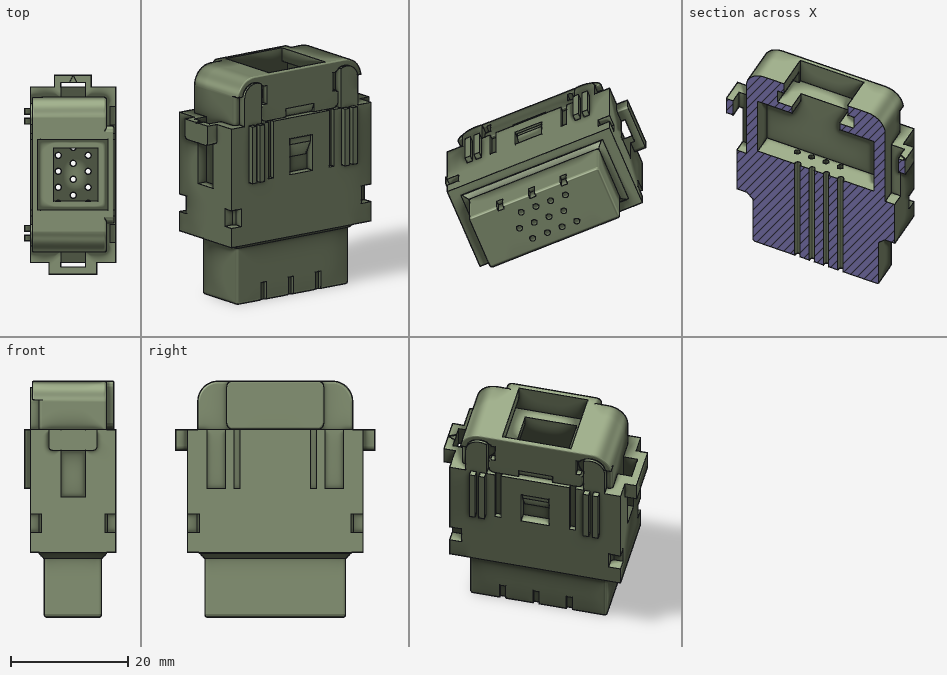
import cadquery as cq


HOUSING_X = 14.6
HOUSING_Y = 30.0
HOUSING_H = 20.9
SIDE_X = HOUSING_X / 2
END_Y = HOUSING_Y / 2

HOOK_REACH = 2.0
HOOK_ROOT = 1.0
HOOK_H = 3.5
HOOK_FRONT_X = 8.2
HOOK_BACK_X = 6.3
HOOK_SHIFT_X = -0.05
HOOK_ROUND = 0.6
END_POCKET_X = 4.2
END_POCKET_H = 11.5
HOOK_OPENING = 0.7
MARK_X = 1.3
MARK_DEPTH = 0.2

GUIDE_H = 10.0
RIB_X = 1.0
RIB_Y = 1.0
RIB_CENTRES = (9.15, 10.8)
RIB_RECESS_INNER = 8.5
RIB_RECESS_OUTER = 11.6
KEY_GROOVE_CENTRE = 6.53
KEY_GROOVE_Y = 1.04
KEY_GROOVE_DEPTH = 0.8
WINDOW_Y = 4.9
WINDOW_TOP = -3.7
WINDOW_DEPTH = 1.6
LATCH_Y = 4.55
LATCH_SETBACK = 0.4
LATCH_LIP_H = 1.15
LATCH_RAMP_H = 2.5

NOTCH_TOP = -14.4
NOTCH_H = 3.1
NOTCH_X = 1.9
NOTCH_Y = 2.1
NOTCH_CHAMFER = 0.45

PLUG_X = 9.8
PLUG_Y = 24.0
PLUG_BOTTOM = -32.0
PLUG_SHIFT_X = -0.06
PLUG_ROUND = 0.5
COLLAR_H = 1.1
COLLAR_FLARE_X = 0.85
COLLAR_FLARE_Y = COLLAR_H
SLOT_Y = 1.1
SLOT_H = 3.2
SLOT_DEPTH = 0.7
SLOT_PITCH = 5.85
SLOT_MIDDLE_Y = 0.42

CAP_TOP = 8.3
CAP_Y = 26.45
CAP_ROUND = 3.5
CAP_LEFT = -6.95
CORE_LEFT = -5.85
CORE_RIGHT = 5.7
CAP_RIGHT = 6.95
CORE_RIGHT_ROUND = 0.45
CORE_LEFT_ROUND = 0.6
PANEL_EDGE_ROUND = 0.25
PANEL_Y = 16.55
PANEL_GAP = 0.1
PANEL_CORNER = 1.0
LOOP_Y = CAP_Y / 2 - CAP_ROUND
LOOP_Z = CAP_TOP - CAP_ROUND
LOOP_R = 2.45
SEAT_DEPTH = 0.1
CROWN_RISE = 0.3
CROWN_Z = LOOP_Z + CROWN_RISE
RELIEF_INNER_Y = 7.1
RELIEF_BOTTOM = 3.16
RELIEF_H = 3.24
PILLAR_INNER_Y = 8.53
RAMP_SLOT_Y = 6.0
RAMP_SLOT_H = 1.56
RAMP_SLOT_DEPTH = 0.7

SOCKET_LEFT = -6.1
SOCKET_RIGHT = 5.97
SOCKET_Y = 12.06
SOCKET_LIP_H = 2.35
UNDERCUT_LEFT = -5.6
UNDERCUT_Y = 14.4
SHELF_Z = 3.4
SHELF_H = 1.6
WELL_LEFT = -3.34
WELL_RIGHT = 4.2
WELL_Y = 9.04
CHAMBER_Y = 22.0
CHAMBER_FLOOR = -10.0

HOLE_D = 1.0
HOLE_PITCH = 2.72
HOLE_ROW_GAP = 2.55
HOLE_MIDDLE_ROW_Y = 4.66
HOLE_OUTER_ROW_Y = HOLE_MIDDLE_ROW_Y - HOLE_PITCH / 2
HOLES_PER_ROW = 4


def box(x0, x1, y0, y1, z0, z1):
    size = (x1 - x0, y1 - y0, z1 - z0)
    return cq.Workplane("XY").box(*size, centered=False).translate((x0, y0, z0))


def mirror_pair(shape):
    """The shape together with its mirror image in the plane Y = 0."""
    return shape.union(shape.mirror("XZ"))


def extrude_x(points, x0, x1):
    """Extrude a closed (y, z) outline from x0 to x1."""
    return cq.Workplane("YZ", origin=(x0, 0, 0)).polyline(points).close().extrude(x1 - x0)


def extrude_y(points, y_half):
    """Extrude a closed (x, z) outline symmetrically about Y = 0."""
    return cq.Workplane("XZ").polyline(points).close().extrude(y_half, both=True)


def loop_cylinder(x0, x1):
    """Cylinder along X about the centre of the cap's +Y shoulder."""
    plane = cq.Workplane("YZ", origin=(x0, LOOP_Y, LOOP_Z))
    return plane.circle(LOOP_R).extrude(x1 - x0)


def hook(width, end):
    """Hook on one end face; end is +1 for the +Y end and -1 for the -Y end."""
    x0 = HOOK_SHIFT_X - width / 2
    block = box(x0, x0 + width, END_Y - HOOK_ROOT, END_Y + HOOK_REACH, -HOOK_H, 0)
    block = block.edges("|Y and <Z").fillet(HOOK_ROUND)
    return block if end > 0 else block.mirror("XZ")


def end_pocket():
    half = END_POCKET_X / 2
    return mirror_pair(box(-half, half, CAP_Y / 2, END_Y + HOOK_OPENING, -END_POCKET_H, 0))


def hook_mark():
    """Engraved triangle on top of the +Y hook, pointing outward."""
    y0 = END_Y + HOOK_OPENING
    y1 = END_Y + HOOK_REACH
    points = [(-MARK_X / 2, y0), (MARK_X / 2, y0), (0, y1)]
    return cq.Workplane("XY").polyline(points).close().extrude(-MARK_DEPTH)


def guide_ribs():
    ribs = cq.Workplane("XY")
    for y in RIB_CENTRES:
        ribs = ribs.add(box(-SIDE_X - RIB_X, -SIDE_X, y - RIB_Y / 2, y + RIB_Y / 2, -GUIDE_H, 0))
    return mirror_pair(ribs.combine())


def guide_grooves():
    """Recesses for a neighbour's ribs on +X, and a key groove on both sides."""
    grooves = box(SIDE_X - RIB_X, SIDE_X, RIB_RECESS_INNER, RIB_RECESS_OUTER, -GUIDE_H, 0)
    y0 = KEY_GROOVE_CENTRE - KEY_GROOVE_Y / 2
    key = box(SIDE_X - KEY_GROOVE_DEPTH, SIDE_X, y0, y0 + KEY_GROOVE_Y, -GUIDE_H, 0)
    return mirror_pair(grooves.union(key).union(key.mirror("YZ")))


def lock_window():
    half = WINDOW_Y / 2
    pocket = box(-SIDE_X, WINDOW_DEPTH - SIDE_X, -half, half, -GUIDE_H, WINDOW_TOP)
    front = LATCH_SETBACK - SIDE_X
    back = WINDOW_DEPTH - SIDE_X
    lip_z = WINDOW_TOP - LATCH_LIP_H
    ramp_z = lip_z - LATCH_RAMP_H
    latch = extrude_y([(front, WINDOW_TOP), (back, WINDOW_TOP), (back, ramp_z), (front, lip_z)], LATCH_Y / 2)
    return pocket.cut(latch)


def corner_notches():
    """Notches in the four vertical edges, each with a chamfered inner corner."""
    notch = box(SIDE_X - NOTCH_X, SIDE_X, END_Y - NOTCH_Y, END_Y, NOTCH_TOP - NOTCH_H, NOTCH_TOP)
    notch = notch.edges("|Z and <X and <Y").chamfer(NOTCH_CHAMFER)
    return mirror_pair(notch.union(notch.mirror("YZ")))


def make_housing():
    housing = box(-SIDE_X, SIDE_X, -END_Y, END_Y, -HOUSING_H, 0)
    housing = housing.union(hook(HOOK_BACK_X, 1)).union(hook(HOOK_FRONT_X, -1))
    housing = housing.union(guide_ribs())
    for tool in (end_pocket(), hook_mark(), guide_grooves(), lock_window(), corner_notches()):
        housing = housing.cut(tool)
    return housing


def make_plug():
    half_x = PLUG_X / 2
    half_y = PLUG_Y / 2
    plug = box(-half_x, half_x, -half_y, half_y, PLUG_BOTTOM, -HOUSING_H)
    plug = plug.edges("|Z").fillet(PLUG_ROUND).faces("<Z").edges().fillet(PLUG_ROUND)
    for index in (-1, 0, 1):
        y0 = SLOT_MIDDLE_Y + index * SLOT_PITCH - SLOT_Y / 2
        plug = plug.cut(
            box(-half_x, SLOT_DEPTH - half_x, y0, y0 + SLOT_Y, PLUG_BOTTOM, PLUG_BOTTOM + SLOT_H)
        )
    return plug.union(make_collar()).translate((PLUG_SHIFT_X, 0, 0))


def make_collar():
    """Flared block that joins the plug to the underside of the housing."""
    half_x = PLUG_X / 2 + COLLAR_FLARE_X
    half_y = PLUG_Y / 2 + COLLAR_FLARE_Y
    top = -HOUSING_H
    bottom = top - COLLAR_H
    collar = box(-half_x, half_x, -half_y, half_y, bottom, top)
    rim_z = bottom + COLLAR_FLARE_X
    side = [
        (-half_x, top),
        (half_x, top),
        (half_x, rim_z),
        (PLUG_X / 2, bottom),
        (-PLUG_X / 2, bottom),
        (-half_x, rim_z),
    ]
    end = [(-half_y, top), (half_y, top), (PLUG_Y / 2, bottom), (-PLUG_Y / 2, bottom)]
    return collar.intersect(extrude_y(side, half_y)).intersect(extrude_x(end, -half_x, half_x))


def arch(x0, x1):
    """Slice of the cap: a block with two rounded shoulders."""
    block = box(x0, x1, -CAP_Y / 2, CAP_Y / 2, 0, CAP_TOP)
    return block.edges("|X and >Z").fillet(CAP_ROUND)


def crown(x0, x1):
    """Upper part of a cap slice, which overhangs the open corners below it."""
    return arch(x0, x1).intersect(box(x0, x1, -CAP_Y / 2, CAP_Y / 2, CROWN_Z, CAP_TOP))


def cap_core():
    """Body of the cap; its -X edges are rounded below the crown only.

    A shallow round seat behind each pillar is sunk into the -X face.
    """
    core = arch(CORE_LEFT, CORE_RIGHT)
    core = core.faces(">X").edges("not <Z").fillet(CORE_RIGHT_ROUND)
    core = core.faces("<X").edges("not <Z").fillet(CORE_LEFT_ROUND)
    core = core.union(crown(CORE_LEFT, CORE_LEFT + CORE_LEFT_ROUND))
    return core.cut(mirror_pair(loop_cylinder(CORE_LEFT, CORE_LEFT + SEAT_DEPTH)))


def right_panel():
    """Raised panel on the +X face of the cap."""
    half = PANEL_Y / 2
    panel = box(CORE_RIGHT - CORE_RIGHT_ROUND, CAP_RIGHT, -half, half, PANEL_GAP, CAP_TOP)
    return panel.edges("|X").fillet(PANEL_CORNER).faces(">X").edges().fillet(PANEL_EDGE_ROUND)


def left_panel():
    """Raised layer on the -X face of the cap, cut away around the two pillars."""
    half = PANEL_Y / 2
    skirt = box(CAP_LEFT, CORE_LEFT, -half, half, PANEL_GAP, CROWN_Z)
    skirt = skirt.edges("|X and <Z").fillet(PANEL_CORNER)
    panel = skirt.union(crown(CAP_LEFT, CORE_LEFT)).cut(mirror_pair(loop_cylinder(CAP_LEFT, CORE_LEFT)))
    relief_top = RELIEF_BOTTOM + RELIEF_H
    relief = box(CAP_LEFT, CORE_LEFT, RELIEF_INNER_Y, LOOP_Y, RELIEF_BOTTOM, relief_top)
    panel = panel.faces("<X").edges().fillet(PANEL_EDGE_ROUND)
    ramp_top = PANEL_GAP + RAMP_SLOT_H
    ramp_back = CAP_LEFT + RAMP_SLOT_DEPTH
    ramp_slot = extrude_y(
        [(CAP_LEFT, PANEL_GAP), (ramp_back, PANEL_GAP), (CAP_LEFT, ramp_top)], RAMP_SLOT_Y / 2
    )
    return panel.cut(mirror_pair(relief)).cut(ramp_slot)


def pillars():
    """Round-topped pillars of the housing that stand in the cap's cut-aways."""
    back = CORE_LEFT + SEAT_DEPTH
    outer_y = LOOP_Y + LOOP_R
    pillar = loop_cylinder(-SIDE_X, back)
    pillar = pillar.union(box(-SIDE_X, back, PILLAR_INNER_Y, outer_y, 0, LOOP_Z))
    pillar = pillar.intersect(box(-SIDE_X, back, PILLAR_INNER_Y, outer_y, 0, CAP_TOP))
    return mirror_pair(pillar)


def socket_cavity():
    """Socket opening, wider part below its lip, well and inner chamber."""
    lip_z = CAP_TOP - SOCKET_LIP_H
    chamber_top = SHELF_Z - SHELF_H
    opening = box(SOCKET_LEFT, SOCKET_RIGHT, -SOCKET_Y / 2, SOCKET_Y / 2, SHELF_Z, CAP_TOP)
    undercut = box(UNDERCUT_LEFT, SOCKET_RIGHT, -UNDERCUT_Y / 2, UNDERCUT_Y / 2, SHELF_Z, lip_z)
    well = box(WELL_LEFT, WELL_RIGHT, -WELL_Y / 2, WELL_Y / 2, chamber_top, SHELF_Z)
    chamber = box(WELL_LEFT, WELL_RIGHT, -CHAMBER_Y / 2, CHAMBER_Y / 2, CHAMBER_FLOOR, chamber_top)
    return opening.union(undercut).union(well).union(chamber)


def contact_holes():
    points = []
    for index in range(HOLES_PER_ROW):
        drop = index * HOLE_PITCH
        points.append((0, HOLE_MIDDLE_ROW_Y - drop))
        points.append((-HOLE_ROW_GAP, HOLE_OUTER_ROW_Y - drop))
        points.append((HOLE_ROW_GAP, HOLE_OUTER_ROW_Y - drop))
    plane = cq.Workplane("XY", origin=(0, 0, PLUG_BOTTOM))
    return plane.pushPoints(points).circle(HOLE_D / 2).extrude(CHAMBER_FLOOR - PLUG_BOTTOM)


def make_part():
    part = make_housing().union(make_plug())
    for piece in (cap_core(), right_panel(), pillars(), left_panel()):
        part = part.union(piece)
    return part.cut(socket_cavity()).cut(contact_holes())


result = make_part()